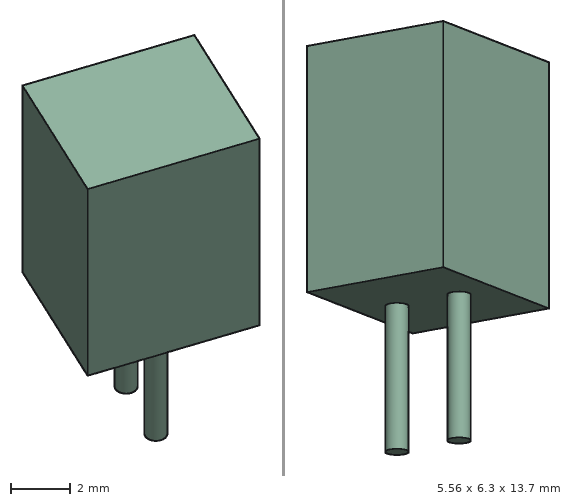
import cadquery as cq

total_height = 13.7
body_width = 5.56
body_depth = 6.3
body_height = 8.6

lead_diameter = 0.8
lead_pitch = 2.53
lead_length = total_height - body_height


def make_body():
    """Plain rectangular body, standing on the XY plane."""
    return cq.Workplane("XY").box(body_width, body_depth, body_height, centered=(True, True, False))


def make_lead(x_position):
    """Round lead hanging from the underside of the body."""
    return cq.Workplane("XY").center(x_position, 0).circle(lead_diameter / 2).extrude(-lead_length)


body = make_body()
leads = [make_lead(side * lead_pitch / 2) for side in (-1, 1)]

result = cq.Compound.makeCompound([body.val(), *[lead.val() for lead in leads]])